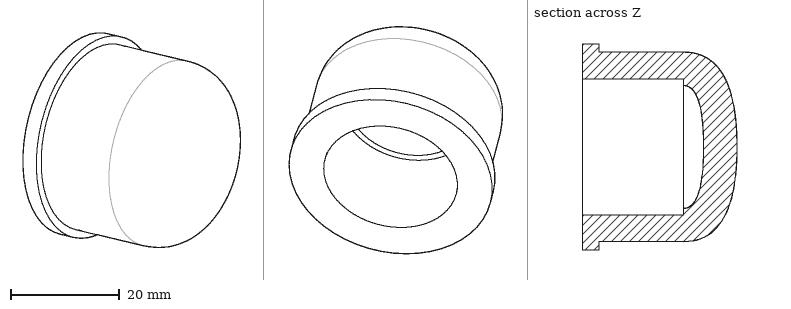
import cadquery as cq

total_length = 28.5
flange_diameter = 38.0
flange_thickness = 3.1
body_diameter = 35.0
body_end = 18.6
bore_diameter = 25.0
bore_depth = body_end
recess_diameter = 22.6

dome_height = total_length - body_end
dome_wall = (body_diameter - recess_diameter) / 2
recess_height = dome_height - dome_wall

dome_rim_control = 0.87
dome_crown_control = 0.43
recess_rim_control = 0.71
recess_crown_control = 0.62


def cylinder(diameter, length):
    """Cylinder along +X, starting at the flange face."""
    return cq.Workplane("YZ").circle(diameter / 2).extrude(length)


def dome(start, diameter, height, rim_control, crown_control):
    """Solid of revolution about X, tangent to a cylinder at its rim and flat at its crown."""
    radius = diameter / 2
    tip = start + height
    curve = [
        (start, radius),
        (start + rim_control * height, radius),
        (tip, crown_control * radius),
        (tip, 0),
    ]
    profile = cq.Workplane("XY").moveTo(start, 0).lineTo(start, radius).bezier(curve).close()
    return profile.revolve(360, (0, 0, 0), (1, 0, 0))


def outer_shape():
    """Flange, body and domed end."""
    flange = cylinder(flange_diameter, flange_thickness)
    body = cylinder(body_diameter, body_end)
    end = dome(body_end, body_diameter, dome_height, dome_rim_control, dome_crown_control)
    return flange.union(body).union(end)


def cavity():
    """Bore with a smaller domed recess in its floor."""
    bore = cylinder(bore_diameter, bore_depth)
    recess = dome(
        bore_depth, recess_diameter, recess_height, recess_rim_control, recess_crown_control
    )
    return bore.union(recess)


result = outer_shape().cut(cavity())